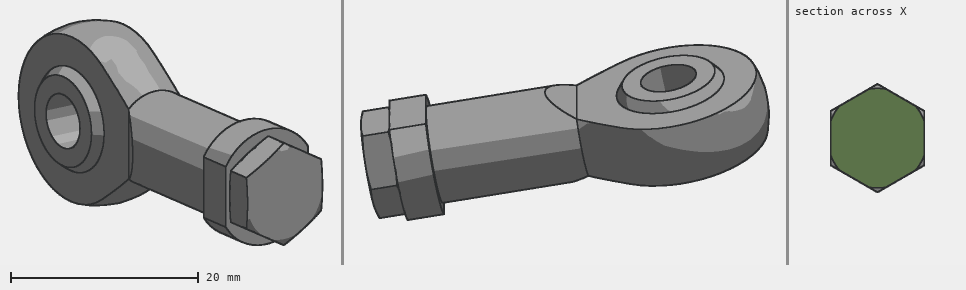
import cadquery as cq
import math


overall_length = 43.2
eye_radius = 9.95
eye_width = 6.9
shank_radius = 10.5 / 2
neck_end_x = 10.15
flat_runout_end_x = 13.25

collar_start_x = 26.15
collar_length = 3.95
collar_radius = 6.5
collar_across_flats = 11.0
hex_across_flats = 10.02
hex_chamfer_length = 0.2

ball_radius = 6.8
ball_width = 9.07
bore_diameter = 6.0

collar_end_x = collar_start_x + collar_length
hex_end_x = overall_length - eye_radius
hex_length = hex_end_x - collar_end_x
hex_corner_radius = hex_across_flats / math.sqrt(3)


def make_eye_and_shank():
    """Spherical eye, neck cone tangent to it, and shank, turned about X and thinned to the eye width."""
    neck_distance = math.hypot(neck_end_x, shank_radius)
    tangent_angle = math.atan2(shank_radius, neck_end_x) + math.acos(eye_radius / neck_distance)
    arc_middle_angle = (tangent_angle + math.pi) / 2

    def eye_point(angle):
        return (eye_radius * math.cos(angle), eye_radius * math.sin(angle))

    turned = (
        cq.Workplane("XY")
        .moveTo(-eye_radius, 0)
        .threePointArc(eye_point(arc_middle_angle), eye_point(tangent_angle))
        .lineTo(neck_end_x, shank_radius)
        .lineTo(collar_start_x, shank_radius)
        .lineTo(collar_start_x, 0)
        .close()
        .revolve(360, (0, 0, 0), (1, 0, 0))
    )
    half_eye = eye_width / 2
    plan = (
        cq.Workplane("XY")
        .polyline([
            (-eye_radius, -half_eye),
            (neck_end_x, -half_eye),
            (flat_runout_end_x, -shank_radius),
            (collar_start_x, -shank_radius),
            (collar_start_x, shank_radius),
            (flat_runout_end_x, shank_radius),
            (neck_end_x, half_eye),
            (-eye_radius, half_eye),
        ])
        .close()
        .extrude(eye_radius, both=True)
    )
    return turned.intersect(plan)


def make_collar():
    """Round collar with a wrench flat on each Y side."""
    disc = cq.Workplane("YZ", origin=(collar_start_x, 0, 0)).circle(collar_radius).extrude(collar_length)
    flats = (
        cq.Workplane("YZ", origin=(collar_start_x, 0, 0))
        .rect(collar_across_flats, 2 * collar_radius)
        .extrude(collar_length)
    )
    return disc.intersect(flats)


def make_hex_end():
    """Hexagon with flats on the Y sides and its corners chamfered at both ends."""
    hexagon = (
        cq.Workplane("YZ", origin=(collar_end_x, 0, 0))
        .transformed(rotate=(0, 0, 90))
        .polygon(6, 2 * hex_corner_radius)
        .extrude(hex_length)
    )
    face_radius = hex_across_flats / 2
    chamfer_envelope = (
        cq.Workplane("XY")
        .polyline([
            (collar_end_x, 0),
            (collar_end_x, face_radius),
            (collar_end_x + hex_chamfer_length, hex_corner_radius),
            (hex_end_x - hex_chamfer_length, hex_corner_radius),
            (hex_end_x, face_radius),
            (hex_end_x, 0),
        ])
        .close()
        .revolve(360, (0, 0, 0), (1, 0, 0))
    )
    return hexagon.intersect(chamfer_envelope)


def make_ball_blank():
    """Sphere zone between two flat faces, turned about Y."""
    half_width = ball_width / 2
    face_radius = math.sqrt(ball_radius**2 - half_width**2)
    return (
        cq.Workplane("XY")
        .moveTo(0, -half_width)
        .lineTo(face_radius, -half_width)
        .threePointArc((ball_radius, 0), (face_radius, half_width))
        .lineTo(0, half_width)
        .close()
        .revolve(360, (0, 0, 0), (0, 1, 0))
    )


def make_housing():
    """Rod end in one piece, with a spherical socket that fits the ball."""
    rod_end = make_eye_and_shank().union(make_collar()).union(make_hex_end())
    return rod_end.cut(make_ball_blank()).solids()


def make_ball():
    """Ball bored through along Y."""
    bore = cq.Workplane("XZ").circle(bore_diameter / 2).extrude(ball_width, both=True)
    return make_ball_blank().cut(bore).solids()


housing = make_housing()
ball = make_ball()

result = cq.Compound.makeCompound([housing.val(), ball.val()])